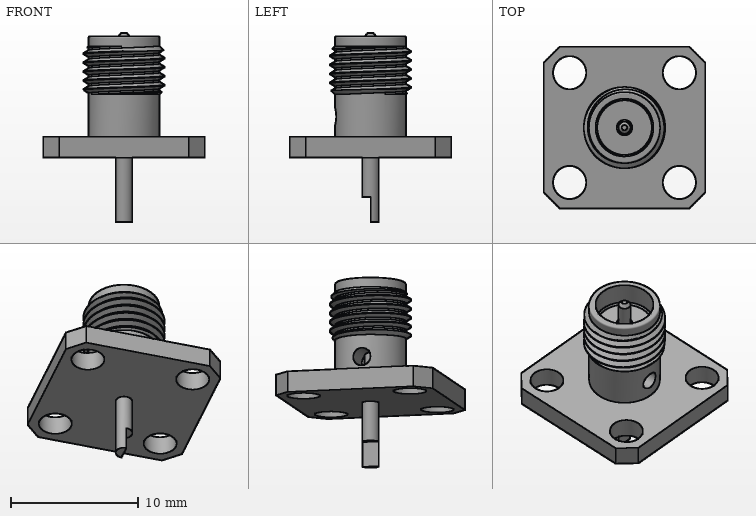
import cadquery as cq
import math

flange_side = 12.7
flange_thickness = 1.65
corner_chamfer = 1.26
mount_hole_diameter = 2.59
mount_hole_spacing = 8.62

sleeve_radius = 2.8
sleeve_top = 9.53
rim_fillet = 0.13
bore_radius = 2.27
bore_floor_radius = 2.14
bore_depth = 1.95
bore_floor_z = sleeve_top - bore_depth
bore_taper = 0.15
side_hole_diameter = 1.4
side_hole_z = 3.21

thread_radius = 3.2
thread_bottom = 4.95
thread_top = 8.75
four_turn_rise = 2.82
thread_pitch = four_turn_rise / 4
crest_width = 0.06
root_width = 0.55
root_overlap = 0.06
trim_clearance = 0.15
thread_crest_z = 7.8

pin_radius = 0.48
pin_tip_radius = 0.21
pin_tip_chamfer = pin_radius - pin_tip_radius
tail_length = 5.08
pin_top = 14.86 - tail_length
pin_recess_radius = 0.61
pin_recess_depth = 0.15

tail_radius = 0.65
tail_step_length = 3.12


def make_flange():
    plate = cq.Workplane("XY").rect(flange_side, flange_side).extrude(flange_thickness)
    plate = plate.edges("|Z").chamfer(corner_chamfer)
    return (
        plate.faces(">Z").workplane()
        .rect(mount_hole_spacing, mount_hole_spacing, forConstruction=True)
        .vertices().hole(mount_hole_diameter)
    )


def make_sleeve():
    sleeve = cq.Workplane("XY").circle(sleeve_radius).extrude(sleeve_top)
    return sleeve.faces(">Z").edges().fillet(rim_fillet)


def make_thread():
    turns_below = math.ceil((thread_crest_z - thread_bottom) / thread_pitch) + 1
    turns_above = math.ceil((thread_top - thread_crest_z) / thread_pitch) + 1
    height = (turns_below + turns_above) * thread_pitch
    start_z = thread_crest_z - turns_below * thread_pitch
    inner_radius = sleeve_radius - root_overlap
    flank_slope = (root_width - crest_width) / 2 / (thread_radius - sleeve_radius)
    half_base = root_width / 2 + root_overlap * flank_slope
    half_crest = crest_width / 2
    path = cq.Wire.makeHelix(thread_pitch, height, sleeve_radius)
    ridge = (
        cq.Workplane("XZ")
        .polyline([
            (inner_radius, -half_base),
            (thread_radius, -half_crest),
            (thread_radius, half_crest),
            (inner_radius, half_base),
        ])
        .close()
        .sweep(cq.Workplane(obj=path), isFrenet=True)
        .translate((0, 0, start_z))
    )
    zone_radius = thread_radius + trim_clearance
    zone = (
        cq.Workplane("XY").workplane(offset=thread_bottom)
        .circle(zone_radius).extrude(thread_top - thread_bottom)
        .edges().chamfer(zone_radius - sleeve_radius)
    )
    return ridge.intersect(zone)


def make_bore():
    recess_z = bore_floor_z - pin_recess_depth
    return (
        cq.Workplane("XZ")
        .moveTo(0, recess_z)
        .lineTo(pin_recess_radius, recess_z)
        .lineTo(pin_recess_radius, bore_floor_z)
        .lineTo(bore_floor_radius, bore_floor_z)
        .lineTo(bore_radius, bore_floor_z + bore_taper)
        .lineTo(bore_radius, sleeve_top)
        .lineTo(0, sleeve_top)
        .close()
        .revolve(360, (0, 0, 0), (0, 1, 0))
    )


def make_side_hole():
    return (
        cq.Workplane("XZ").center(0, side_hole_z)
        .circle(side_hole_diameter / 2).extrude(-2 * sleeve_radius)
    )


def make_pin():
    pin = cq.Workplane("XY").circle(pin_radius).extrude(pin_top)
    return pin.faces(">Z").chamfer(pin_tip_chamfer)


def make_tail():
    tail = cq.Workplane("XY").circle(tail_radius).extrude(-tail_length)
    cut = (
        cq.Workplane("XY").workplane(offset=-tail_length)
        .center(0, tail_radius).rect(2 * tail_radius, 2 * tail_radius)
        .extrude(tail_length - tail_step_length)
    )
    return tail.cut(cut)


body = make_flange().union(make_sleeve()).union(make_thread())
body = body.cut(make_bore()).cut(make_side_hole())
result = body.union(make_pin()).union(make_tail())